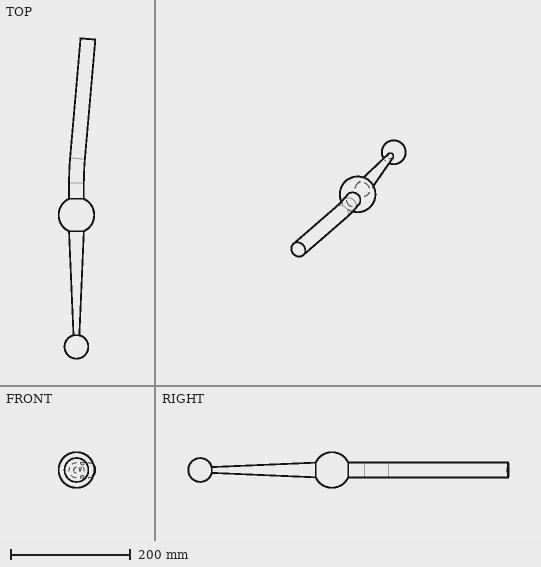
import cadquery as cq
import math

large_ball_diameter = 60.0
small_ball_diameter = 40.0
ball_spacing = 220.0
rod_diameter = 25.0
neck_length = 54.0
bend_length = 40.5
bend_angle = 5.0
grip_length = 200.0
taper_wide_diameter = 25.0
taper_narrow_diameter = 10.0

large_ball_radius = large_ball_diameter / 2
small_ball_radius = small_ball_diameter / 2
taper_start = math.sqrt(large_ball_radius**2 - (taper_wide_diameter / 2) ** 2)
taper_end = ball_spacing - math.sqrt(small_ball_radius**2 - (taper_narrow_diameter / 2) ** 2)


def make_handle():
    """Round rod: straight neck, gentle bend, then straight grip."""
    angle = math.radians(bend_angle)
    bend_radius = bend_length / math.sin(angle)
    bend_end_x = bend_radius * (1 - math.cos(angle))
    bend_end_y = neck_length + bend_length
    path = (
        cq.Workplane("XY")
        .lineTo(0, neck_length)
        .tangentArcPoint((bend_end_x, bend_end_y), relative=False)
        .line(grip_length * math.sin(angle), grip_length * math.cos(angle))
    )
    return cq.Workplane("XZ").circle(rod_diameter / 2).sweep(path)


def make_lever():
    """Tapered shaft between the balls, seated inside both of them."""
    profile = [
        (0, 0),
        (taper_wide_diameter / 2, 0),
        (taper_wide_diameter / 2, -taper_start),
        (taper_narrow_diameter / 2, -taper_end),
        (taper_narrow_diameter / 2, -ball_spacing),
        (0, -ball_spacing),
    ]
    return cq.Workplane("XY").polyline(profile).close().revolve(360, (0, 0), (0, 1))


large_ball = cq.Workplane("XY").sphere(large_ball_radius)
small_ball = cq.Workplane("XY").sphere(small_ball_radius).translate((0, -ball_spacing, 0))

result = large_ball.union(make_handle()).union(make_lever()).union(small_ball)